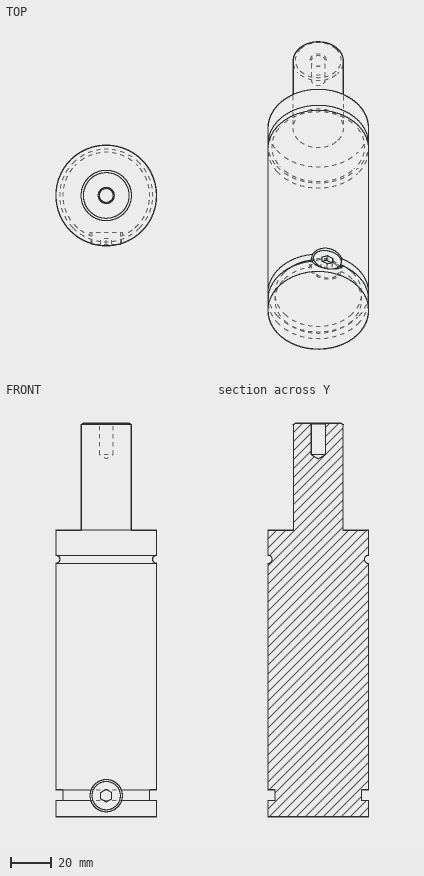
import cadquery as cq
import math

total_height = 195.0
body_diameter = 50.0
body_height = 142.0
rod_diameter = 25.0
rod_chamfer_width = 1.2
rod_chamfer_height = 0.8

collar_height = 12.5
round_groove_radius = 2.0

base_groove_bottom = 8.2
base_groove_height = 5.3
base_groove_depth = 3.5

hole_diameter = 6.8
hole_mouth_diameter = 8.0
hole_depth = 15.6
drill_point_angle = 118.0

bore_diameter = 16.0
bore_floor_offset = 18.3
plug_diameter = 14.0
plug_face_offset = 24.2
plug_height = 10.5
socket_across_flats = 5.5
socket_depth = 3.0

body_radius = body_diameter / 2
rod_radius = rod_diameter / 2


def make_cylinder_and_rod():
    """Revolve the body, both its grooves and the chamfered rod."""
    round_groove_top = body_height - collar_height
    round_groove_bottom = round_groove_top - 2 * round_groove_radius
    base_groove_radius = body_radius - base_groove_depth
    base_groove_top = base_groove_bottom + base_groove_height
    profile = (
        cq.Workplane("XZ")
        .lineTo(body_radius, 0)
        .lineTo(body_radius, base_groove_bottom)
        .lineTo(base_groove_radius, base_groove_bottom)
        .lineTo(base_groove_radius, base_groove_top)
        .lineTo(body_radius, base_groove_top)
        .lineTo(body_radius, round_groove_bottom)
        .threePointArc(
            (body_radius - round_groove_radius, round_groove_bottom + round_groove_radius),
            (body_radius, round_groove_top),
        )
        .lineTo(body_radius, body_height)
        .lineTo(rod_radius, body_height)
        .lineTo(rod_radius, total_height - rod_chamfer_height)
        .lineTo(rod_radius - rod_chamfer_width, total_height)
        .lineTo(0, total_height)
        .close()
    )
    return profile.revolve(360, (0, 0), (0, 1))


def make_rod_hole():
    """Blind hole with a 45 degree mouth chamfer and a conical drill point."""
    hole_radius = hole_diameter / 2
    mouth_radius = hole_mouth_diameter / 2
    mouth_depth = mouth_radius - hole_radius
    point_depth = hole_radius / math.tan(math.radians(drill_point_angle / 2))
    profile = (
        cq.Workplane("XZ")
        .moveTo(0, total_height)
        .lineTo(mouth_radius, total_height)
        .lineTo(hole_radius, total_height - mouth_depth)
        .lineTo(hole_radius, total_height - hole_depth)
        .lineTo(0, total_height - hole_depth - point_depth)
        .close()
    )
    return profile.revolve(360, (0, 0), (0, 1))


def plug_plane(distance_from_axis):
    """Work plane facing -Y, centred on the plug axis."""
    return cq.Workplane("XZ", origin=(0, -distance_from_axis, plug_height))


def make_plug_bore():
    """Flat-bottomed bore that opens through the side of the cylinder."""
    bore_depth = body_radius - bore_floor_offset
    return plug_plane(bore_floor_offset).circle(bore_diameter / 2).extrude(bore_depth)


def make_plug():
    """Round plug standing on the bore floor, with a hexagon socket, corners up and down."""
    plug_length = plug_face_offset - bore_floor_offset
    plug = plug_plane(bore_floor_offset).circle(plug_diameter / 2).extrude(plug_length)
    socket_across_corners = socket_across_flats / math.cos(math.pi / 6)
    socket = (
        plug_plane(plug_face_offset)
        .transformed(rotate=(0, 0, 90))
        .polygon(6, socket_across_corners)
        .extrude(-socket_depth)
    )
    return plug.cut(socket)


body = make_cylinder_and_rod().cut(make_rod_hole()).cut(make_plug_bore())
result = body.union(make_plug())